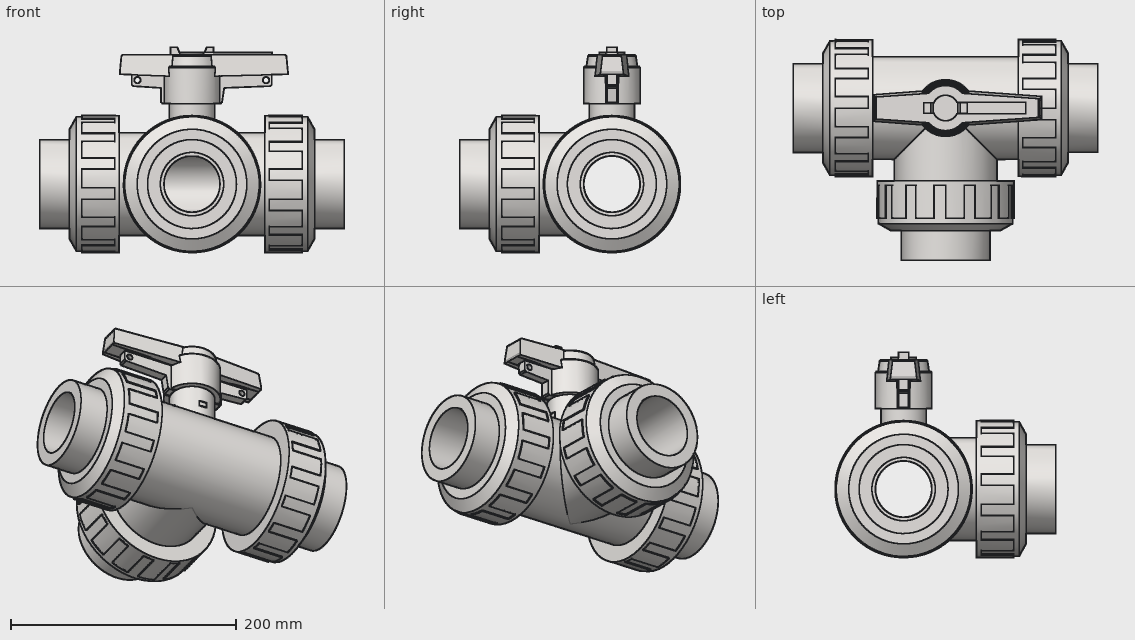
import cadquery as cq
import math


port_reach = 135.0
body_radius = 45.5
pipe_radius = 39.5
pipe_bore_radius = 28.0
ball_bore_radius = 24.8

nut_inner_end = 64.5
nut_outer_end = 108.5
nut_radius = 59.7
nut_nose_radius = 48.5
nose_start = 102.3
rib_radius = 60.8
collar_length = 4.0
rib_end = 97.5
rib_count = 14
rib_angle = 15.9
rib_pitch = 360 / rib_count
rib_margin = 2.7

neck_radius = 20.2
neck_top = 89.6
notch_count = 4
notch_width = 7.3
notch_height = 5.0
notch_depth = 0.8
notch_top = 56.7

hub_radius = 25.0
hub_bottom = 71.3
hub_shoulder = 104.5
hub_edge = 1.4
cone_base_radius = 22.7
cone_top_radius = 21.3
handle_top = 114.8

arm_left = -64.0
arm_right = 85.0
arm_root_bottom = 95.5
arm_tip_bottom = 97.2
arm_tip_wall = 2.5
arm_tip_lean = 1.4
arm_tip_chamfer = 1.4
arm_root_half_width = 16.5
arm_top_half_width = 14.0
arm_taper = 0.07
arm_groove_width = 14.0
groove_top = 97.2

plate_thickness = 8.6
plate_left = -53.5
plate_right = 70.7
plate_tip_bottom = 86.7
plate_root_bottom = 85.0
plate_embed = 1.4
latch_left = -27.5
latch_right_top = 28.5
latch_right_bottom = 26.7
plate_corner = 1.4
lock_hole_radius = 2.7
lock_hole_z = 92.0
lock_hole_inset = 5.0
slot_width = 11.3

mark_top = 116.6
disc_radius = 11.3
bar_end = 71.0
bar_width = 10.5
stop_top = 121.2
stop_outer = 19.2
stop_inner_top = 13.0
stop_inner_foot = 11.0
stop_width = 9.2


def cylinder(radius, bottom, top):
    return cq.Workplane("XY").workplane(offset=bottom).circle(radius).extrude(top - bottom)


def port_cylinder(radius, start, end):
    """Cylinder along the -Y port axis."""
    return cq.Workplane("XZ").workplane(offset=start).circle(radius).extrude(end - start)


def side_plate(points, thickness):
    """XZ outline extruded equally to both sides of the XZ plane."""
    return cq.Workplane("XZ").polyline(points).close().extrude(thickness / 2, both=True)


def polar(radius, angle):
    turn = math.radians(angle)
    return (radius * math.cos(turn), radius * math.sin(turn))


def rib_blank(start_angle):
    """Sector of one rib, running clockwise from start_angle and oversized in radius."""
    end_angle = start_angle - rib_angle
    mid_angle = start_angle - rib_angle / 2
    inside = nut_radius - rib_margin
    outside = rib_radius + 2 * rib_margin
    return (
        cq.Workplane("XZ")
        .workplane(offset=nut_inner_end)
        .moveTo(*polar(inside, start_angle))
        .lineTo(*polar(outside, start_angle))
        .threePointArc(polar(outside, mid_angle), polar(outside, end_angle))
        .lineTo(*polar(inside, end_angle))
        .threePointArc(polar(inside, mid_angle), polar(inside, start_angle))
        .close()
        .extrude(rib_end - nut_inner_end)
    )


def grip_cutter():
    """Ring that cuts the nut down to its plain radius, spared where the ribs stand."""
    cutter_start = nut_inner_end + collar_length
    cutter = (
        cq.Workplane("XZ")
        .workplane(offset=cutter_start)
        .circle(rib_radius + rib_margin)
        .circle(nut_radius)
        .extrude(nose_start - cutter_start)
    )
    for index in range(rib_count):
        cutter = cutter.cut(rib_blank(90 - index * rib_pitch))
    return cutter


def port_fitting():
    """Union nut and pipe end of the -Y port, solid; the first rib starts at the +Z side."""
    blank = (
        cq.Workplane("XY")
        .polyline([
            (0, -nut_inner_end),
            (rib_radius, -nut_inner_end),
            (rib_radius, -nose_start),
            (nut_radius, -nose_start),
            (nut_nose_radius, -nut_outer_end),
            (pipe_radius, -nut_outer_end),
            (pipe_radius, -port_reach),
            (0, -port_reach),
        ])
        .close()
        .revolve(360, (0, 0, 0), (0, 1, 0))
    )
    return blank.cut(grip_cutter())


def at_ports(shape):
    """The -Y port shape turned about the stem axis to all three ports."""
    return [shape.rotate((0, 0, 0), (0, 0, 1), angle) for angle in (0, 90, -90)]


def tee(radius):
    """Through cylinder along X joined by a branch toward -Y, up to the nut faces."""
    run = cq.Workplane("YZ").circle(radius).extrude(nut_inner_end, both=True)
    return run.union(port_cylinder(radius, 0, nut_inner_end))


def neck():
    shaft = cylinder(neck_radius, 0, neck_top)
    notch = cq.Workplane("XY").box(notch_width, 2 * notch_depth, notch_height)
    notch = notch.translate((0, -neck_radius, notch_top - notch_height / 2))
    for turn in range(notch_count):
        shaft = shaft.cut(notch.rotate((0, 0, 0), (0, 0, 1), turn * 360 / notch_count))
    return shaft


def hub():
    barrel = cylinder(hub_radius, hub_bottom, hub_shoulder).faces(">Z").edges().chamfer(hub_edge)
    crown = (
        cq.Workplane("XZ")
        .polyline([
            (0, hub_shoulder),
            (cone_base_radius, hub_shoulder),
            (cone_top_radius, handle_top - hub_edge),
            (cone_top_radius - hub_edge, handle_top),
            (0, handle_top),
        ])
        .close()
        .revolve(360, (0, 0, 0), (0, 1, 0))
    )
    slot_height = groove_top - hub_bottom
    slot = cq.Workplane("XY").box(2 * hub_radius, slot_width, slot_height)
    slot = slot.translate((0, 0, hub_bottom + slot_height / 2))
    return barrel.union(crown).cut(slot)


def arm_plan(half_width):
    """Plan outline, widest at the stem and tapering toward both tips."""
    left_half = half_width + arm_taper * arm_left
    right_half = half_width - arm_taper * arm_right
    return [
        (arm_left, -left_half),
        (0, -half_width),
        (arm_right, -right_half),
        (arm_right, right_half),
        (0, half_width),
        (arm_left, left_half),
    ]


def arms():
    drafted = (
        cq.Workplane("XY")
        .workplane(offset=arm_root_bottom)
        .polyline(arm_plan(arm_root_half_width))
        .close()
        .workplane(offset=handle_top - arm_root_bottom)
        .polyline(arm_plan(arm_top_half_width))
        .close()
        .loft(ruled=True)
    )
    strip_top = arm_tip_bottom + arm_tip_wall
    chamfer_bottom = handle_top - arm_tip_chamfer
    side_outline = [
        (-neck_radius, arm_root_bottom),
        (neck_radius, arm_root_bottom),
        (arm_right, arm_tip_bottom),
        (arm_right, strip_top),
        (arm_right - arm_tip_lean, chamfer_bottom),
        (arm_right - arm_tip_lean - arm_tip_chamfer, handle_top),
        (arm_left + arm_tip_lean + arm_tip_chamfer, handle_top),
        (arm_left + arm_tip_lean, chamfer_bottom),
        (arm_left, strip_top),
        (arm_left, arm_tip_bottom),
    ]
    groove = cq.Workplane("XY").box(
        2 * arm_right, arm_groove_width, groove_top - arm_root_bottom
    )
    groove = groove.translate((0, 0, (groove_top + arm_root_bottom) / 2))
    arm_body = drafted.intersect(side_plate(side_outline, 4 * arm_root_half_width))
    return arm_body.cut(groove)


def locking_plate():
    embed_top = groove_top + plate_embed
    plate = side_plate(
        [
            (plate_left, embed_top),
            (plate_left, plate_tip_bottom + plate_corner),
            (plate_left + plate_corner, plate_tip_bottom),
            (latch_left, plate_root_bottom),
            (latch_left, hub_bottom + plate_corner),
            (latch_left + plate_corner, hub_bottom),
            (latch_right_bottom - plate_corner, hub_bottom),
            (latch_right_bottom, hub_bottom + plate_corner),
            (latch_right_top, plate_root_bottom),
            (plate_right - plate_corner, plate_tip_bottom),
            (plate_right, plate_tip_bottom + plate_corner),
            (plate_right, embed_top),
        ],
        plate_thickness,
    )
    hole_centres = [
        (plate_left + lock_hole_inset, lock_hole_z),
        (plate_right - lock_hole_inset, lock_hole_z),
    ]
    holes = (
        cq.Workplane("XZ")
        .pushPoints(hole_centres)
        .circle(lock_hole_radius)
        .extrude(plate_thickness, both=True)
    )
    return plate.cut(holes)


def top_marks():
    """Centre disc, pointer bar and the two stop blocks on the handle top."""
    disc = cylinder(disc_radius, handle_top, mark_top)
    bar = side_plate(
        [(0, handle_top), (bar_end, handle_top), (bar_end, mark_top), (0, mark_top)],
        bar_width,
    )
    stop = side_plate(
        [
            (stop_outer, handle_top),
            (stop_outer, stop_top),
            (stop_inner_top, stop_top),
            (stop_inner_foot, mark_top),
            (stop_inner_foot, handle_top),
        ],
        stop_width,
    )
    return disc.union(bar).union(stop).union(stop.mirror("YZ"))


valve = tee(body_radius).union(neck())
for fitting in at_ports(port_fitting()):
    valve = valve.union(fitting)
valve = valve.cut(tee(ball_bore_radius))
for pipe_bore in at_ports(port_cylinder(pipe_bore_radius, nut_inner_end, port_reach)):
    valve = valve.cut(pipe_bore)

handle = hub().union(arms()).union(locking_plate()).union(top_marks())
result = valve.union(handle)